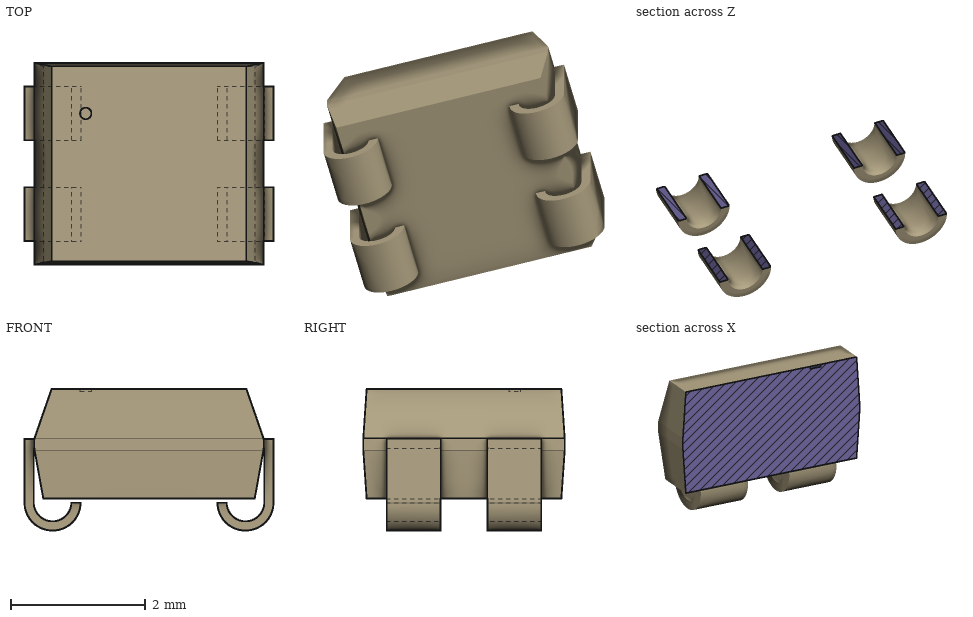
import cadquery as cq

BAND_LENGTH = 3.41
BAND_WIDTH = 3.0
TOP_LENGTH = 2.9
TOP_WIDTH = 2.9
BASE_LENGTH = 3.15
BASE_WIDTH = 2.9
BASE_Z = 0.48
BAND_BOTTOM_Z = 1.2
BAND_TOP_Z = 1.375
TOP_Z = 2.11

LEAD_SPAN = 3.71
LEAD_THICKNESS = 0.14
LEAD_WIDTH = 0.8
LEAD_PITCH = 1.5
LEAD_TOP_Z = 1.365
HOOK_OUTER_RADIUS = 0.42
HOOK_INNER_RADIUS = HOOK_OUTER_RADIUS - LEAD_THICKNESS
HOOK_CENTER_Z = HOOK_OUTER_RADIUS

MARKER_DIAMETER = 0.17
MARKER_DEPTH = 0.037
MARKER_X = -0.942
MARKER_Y = LEAD_PITCH / 2


def tapered_block(start_z, start_size, end_z, end_size):
    """Loft between two centred rectangles at different heights."""
    return (
        cq.Workplane("XY", origin=(0, 0, start_z))
        .rect(*start_size)
        .workplane(offset=end_z - start_z)
        .rect(*end_size)
        .loft(ruled=True)
    )


def make_marker():
    return (
        cq.Workplane("XY", origin=(MARKER_X, MARKER_Y, TOP_Z - MARKER_DEPTH))
        .circle(MARKER_DIAMETER / 2)
        .extrude(MARKER_DEPTH)
    )


def make_housing(marker):
    """Housing with a recess that holds the marker."""
    band_size = (BAND_LENGTH, BAND_WIDTH)
    lower = tapered_block(BASE_Z, (BASE_LENGTH, BASE_WIDTH), BAND_BOTTOM_Z, band_size)
    band = tapered_block(BAND_BOTTOM_Z, band_size, BAND_TOP_Z, band_size)
    upper = tapered_block(BAND_TOP_Z, band_size, TOP_Z, (TOP_LENGTH, TOP_WIDTH))
    return lower.union(band).union(upper).cut(marker)


def make_lead(side, center_y):
    """One lead on the -X side (side = -1) or the +X side (side = 1)."""
    outer_x = LEAD_SPAN / 2
    inner_x = outer_x - LEAD_THICKNESS
    housing_x = BAND_LENGTH / 2
    hook_x = outer_x - HOOK_OUTER_RADIUS
    tab_bottom_z = LEAD_TOP_Z - LEAD_THICKNESS
    return (
        cq.Workplane("XZ", origin=(0, center_y + LEAD_WIDTH / 2, 0))
        .moveTo(side * housing_x, LEAD_TOP_Z)
        .lineTo(side * outer_x, LEAD_TOP_Z)
        .lineTo(side * outer_x, HOOK_CENTER_Z)
        .threePointArc(
            (side * hook_x, HOOK_CENTER_Z - HOOK_OUTER_RADIUS),
            (side * (hook_x - HOOK_OUTER_RADIUS), HOOK_CENTER_Z),
        )
        .lineTo(side * (hook_x - HOOK_INNER_RADIUS), HOOK_CENTER_Z)
        .threePointArc(
            (side * hook_x, HOOK_CENTER_Z - HOOK_INNER_RADIUS),
            (side * inner_x, HOOK_CENTER_Z),
        )
        .lineTo(side * inner_x, tab_bottom_z)
        .lineTo(side * housing_x, tab_bottom_z)
        .close()
        .extrude(LEAD_WIDTH)
    )


marker = make_marker()
housing = make_housing(marker)
leads = [
    make_lead(side, row * LEAD_PITCH / 2).val()
    for side in (-1, 1)
    for row in (-1, 1)
]

result = cq.Compound.makeCompound([housing.val(), marker.val(), *leads])